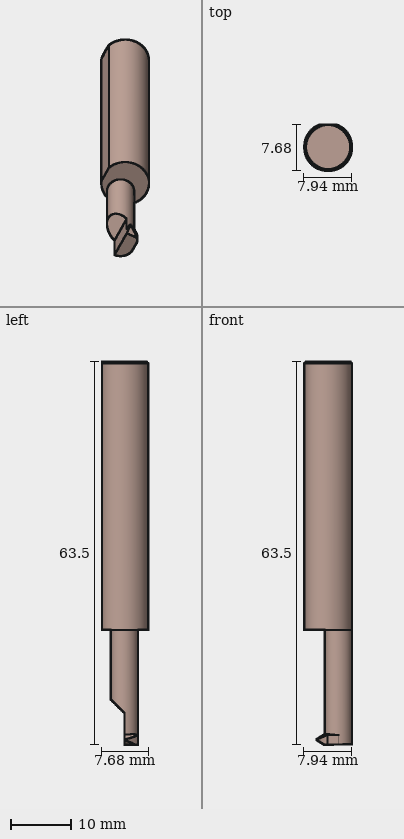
import cadquery as cq
import math

overall_length = 63.5
shank_diameter = 7.9375
shank_length = 44.45
shank_chamfer = 0.3
shank_flat_y = 3.71

neck_diameter = 4.54
relief_full_z = 5.3
relief_angle = 45.0

tip_x = -1.9
tip_z = 0.88
tip_flat = 0.15
flank_angle = 32.0
head_height = 2.05
back_height = 1.68
heel_x = -0.1
clearance_bulge = 0.17
end_slope_angle = 1.5
cutter_overrun = 1.0

shank_radius = shank_diameter / 2
neck_radius = neck_diameter / 2
neck_x = shank_radius - neck_radius
shank_bottom_z = overall_length - shank_length
flank_slope = math.tan(math.radians(flank_angle))
lower_tip_z = tip_z - tip_flat / 2
upper_tip_z = tip_z + tip_flat / 2
lower_root_x = tip_x + lower_tip_z / flank_slope
upper_root_x = tip_x + (head_height - upper_tip_z) / flank_slope
top_drop = head_height - back_height
end_rise = (shank_radius - lower_root_x) * math.tan(math.radians(end_slope_angle))


def make_shank():
    shank = cq.Workplane("XY", origin=(0, 0, shank_bottom_z)).circle(shank_radius).extrude(shank_length)
    shank = shank.faces(">Z").chamfer(shank_chamfer)
    flat_cutter = cq.Workplane("XY").box(
        shank_diameter, shank_radius, overall_length, centered=(True, False, False)
    )
    return shank.cut(flat_cutter.translate((0, shank_flat_y, 0)))


def make_neck():
    neck = cq.Workplane("XY").center(neck_x, 0).circle(neck_radius).extrude(shank_bottom_z)
    runout_height = shank_radius / math.tan(math.radians(relief_angle))
    relief = (
        cq.Workplane("YZ", origin=(-shank_radius, 0, 0))
        .moveTo(0, 0)
        .lineTo(0, relief_full_z)
        .lineTo(shank_radius, relief_full_z + runout_height)
        .lineTo(shank_radius, 0)
        .close()
        .extrude(shank_diameter)
    )
    return neck.cut(relief)


def make_head():
    """Pointed tooth and its block, bounded by a bowed clearance face."""
    lower_profile = (
        cq.Workplane("XZ")
        .moveTo(tip_x, lower_tip_z)
        .lineTo(lower_root_x, 0)
        .lineTo(neck_x, 0)
        .lineTo(neck_x, head_height)
        .lineTo(tip_x, head_height)
        .close()
        .extrude(neck_radius)
    )

    upper_outline = cq.Wire.makePolygon(
        [
            cq.Vector(tip_x, 0, upper_tip_z),
            cq.Vector(upper_root_x, 0, head_height),
            cq.Vector(neck_x, 0, head_height),
            cq.Vector(neck_x, 0, -top_drop),
            cq.Vector(tip_x, 0, -top_drop),
        ],
        close=True,
    )
    upper_profile = cq.Solid.extrudeLinear(upper_outline, [], cq.Vector(0, -neck_radius, -top_drop))

    chord_x = heel_x - tip_x
    chord_length = math.hypot(chord_x, neck_radius)
    bulge_point = (
        (tip_x + heel_x) / 2 - clearance_bulge * neck_radius / chord_length,
        -neck_radius / 2 - clearance_bulge * chord_x / chord_length,
    )
    plan = (
        cq.Workplane("XY")
        .moveTo(tip_x, 0)
        .threePointArc(bulge_point, (heel_x, -neck_radius))
        .lineTo(neck_x, -neck_radius)
        .lineTo(neck_x, 0)
        .close()
        .extrude(head_height)
    )
    return plan.intersect(lower_profile).intersect(cq.Workplane(upper_profile))


def make_end_face_cutter():
    """Wedge that gives the neck and head one end face, rising toward +X."""
    return (
        cq.Workplane("XZ", origin=(0, shank_radius, 0))
        .moveTo(lower_root_x, 0)
        .lineTo(shank_radius, end_rise)
        .lineTo(shank_radius, -cutter_overrun)
        .lineTo(-shank_radius, -cutter_overrun)
        .lineTo(-shank_radius, 0)
        .close()
        .extrude(shank_diameter)
    )


cutting_end = make_neck().union(make_head()).cut(make_end_face_cutter())
result = make_shank().union(cutting_end)